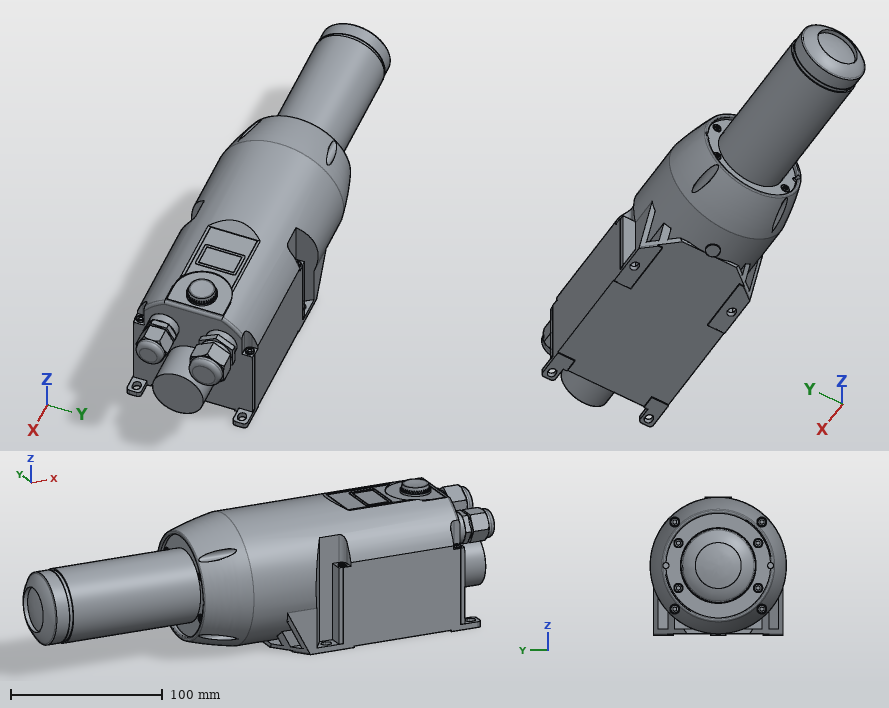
import math
import cadquery as cq

TOTAL_LENGTH = 326.5
BODY_RADIUS = 45.0
KNOB_TOP = 45.08
FOOT_BOTTOM = -46.0
BASE_BOTTOM = -BODY_RADIUS
FLOOR_TOP = -42.0
HALF_WIDTH = 42.75

TUBE_RADIUS = 25.0
CAP_RADIUS = 24.5
TIP_LENGTH = 5.5
CAP_LENGTH = 15.0
GROOVE_WIDTH = 2.5
GROOVE_DEPTH = 0.5
TIP_ARC_MIDDLE = (2.1, 20.1)
TIP_ARC_END = (5.0, 23.5)
TIP_BORE_RADIUS = 30.29 / 2
TIP_BORE_DEPTH = 3.0
TIP_DOME_HEIGHT = 2.5
TIP_DOME_FULLNESS = 0.75

COLLAR_FRONT = 107.2
COLLAR_REAR = 139.7
COLLAR_FRONT_RADIUS = 37.0
COLLAR_BULGE = 0.6
COLLAR_EDGE_FILLET = 0.8
FACE_RADIUS = 34.5
FACE_DEPTH = 3.0

HOUSING_REAR = 294.9
HOUSING_START = 203.0
REAR_FILLET = 2.0
LIP_LENGTH = 3.0
LIP_DEPTH = 0.4

BASE_FRONT = 182.0
GUSSET_TOP = -13.8
GUSSET_SETBACK = 17.0
FRONT_LEAN = GUSSET_SETBACK / (GUSSET_TOP - FOOT_BOTTOM)
FRONT_SWEEP = math.tan(math.radians(40))
BASE_WALL_REAR = 188.0
GUSSET_REAR = 200.0
HOUSING_FRONT = 196.0
NOSE_LIMIT = 163.0
OUTER_POCKET_Y = (33.3, 39.7)
MIDDLE_POCKET_Y = 28.7
POCKET_END_WALL = 3.0

NOTCH_INNER_Y = 32.6
NOTCH_FRONT = 186.6
NOTCH_CORNER = 193.4
PAD_INNER_Y = 29.6
FRONT_PAD_FRONT = 173.7
FRONT_PAD_REAR = 214.0
REAR_PAD_FRONT = 285.0
FOOT_REAR = 307.0
FOOT_CORNER_RADIUS = 2.5
SLOT_LENGTH = 7.0
SLOT_WIDTH = 5.5
SLOT_X = (196.2, 301.3)
SLOT_Y = 37.4
BUTTON_X = 158.5
BUTTON_DIAMETER = 10.0
BUTTON_HEIGHT = 2.0

SEAT_Z = 11.5
FRONT_SEAT_REAR = 211.6
REAR_SEAT_FRONT = 286.7
REAR_SEAT_INNER_Y = 34.8
SEAT_CORNER_RADIUS = 4.0
COVER_SCREW_X = (207.4, 290.7)
COVER_SCREW_Y = 38.7
SCREW_DIAMETER = 6.1
SCREW_HEIGHT = 1.2
SCREW_CHAMFER = 0.6
SOCKET_DIAMETER = 3.0
SOCKET_DEPTH = 0.8

COLLAR_SCREW_YZ = 28.7
COLLAR_HOLE_DIAMETER = 6.5
FACE_SCREW_Y = 26.3
FACE_SCREW_Z = 14.8
SIDE_NOTCH_DIAMETER = 4.0
SIDE_NOTCH_DEPTH = 4.0

PANEL_Z = 41.0
PANEL_RAMP_START = 214.0
PANEL_RAMP_END = 221.8
PANEL_HALF_WIDTH = 16.6
PANEL_RECESS = 0.6
DIAL_SHELF_Z = 40.0
DIAL_Z = 39.6
DIAL_RECESS_REAR = 291.5
DIAL_X = 279.0
DIAL_RADIUS = 20.0
WINDOW_X = (237.0, 255.6)
WINDOW_HALF_WIDTH = 14.3
WINDOW_FRAME = 1.9
WINDOW_DEPTH = 0.4
WINDOW_CORNER = 1.2

KNOB_DIAMETER = 20.6
KNOB_FLANGE_HEIGHT = 1.0
KNOB_GRIP_DIAMETER = 19.5
KNOB_TOP_DIAMETER = 17.5
KNOB_RIM_WIDTH = 1.0
KNOB_DISH_DEPTH = 0.5
KNOB_GROOVES = 36
KNOB_GROOVE_DIAMETER = 1.0

GLAND_Y = 20.25
GLAND_Z = 17.3
GLAND_COLLAR_REAR = 301.0
GLAND_FIRST_HEX_REAR = 305.0
GLAND_NUT_CHAMFER = 1.2
GLAND_DOME_FILLET = 3.5
PIPE_DIAMETER = 36.0
PIPE_Z = -14.0
PIPE_REAR = 321.8

FAR = 60.0
OVERLAP = 1.0


def box(x0, x1, y0, y1, z0, z1):
    return cq.Workplane("XY").box(x1 - x0, y1 - y0, z1 - z0, centered=False).translate((x0, y0, z0))


def rod(x0, x1, diameter, y=0.0, z=0.0):
    return cq.Workplane("YZ", origin=(x0, y, z)).circle(diameter / 2).extrude(x1 - x0)


def both_sides(solid):
    return solid.union(solid.mirror("XZ"))


def make_nozzle():
    groove_end = CAP_LENGTH + GROOVE_WIDTH
    groove_radius = CAP_RADIUS - GROOVE_DEPTH
    profile = (
        cq.Workplane("XY")
        .moveTo(TIP_BORE_DEPTH - TIP_DOME_HEIGHT, 0)
        .threePointArc(
            (TIP_BORE_DEPTH - TIP_DOME_HEIGHT * TIP_DOME_FULLNESS, TIP_BORE_RADIUS / 2),
            (TIP_BORE_DEPTH, TIP_BORE_RADIUS),
        )
        .lineTo(0, TIP_BORE_RADIUS)
        .threePointArc(TIP_ARC_MIDDLE, TIP_ARC_END)
        .lineTo(TIP_LENGTH, CAP_RADIUS)
        .lineTo(CAP_LENGTH, CAP_RADIUS)
        .lineTo(CAP_LENGTH, groove_radius)
        .lineTo(groove_end, groove_radius)
        .lineTo(groove_end, TUBE_RADIUS)
        .lineTo(COLLAR_REAR, TUBE_RADIUS)
        .lineTo(COLLAR_REAR, 0)
        .close()
    )
    return profile.revolve(360, (0, 0, 0), (1, 0, 0))


def make_barrel():
    bulge_point = (
        (COLLAR_FRONT + COLLAR_REAR) / 2,
        (COLLAR_FRONT_RADIUS + BODY_RADIUS) / 2 + COLLAR_BULGE,
    )
    face_x = COLLAR_FRONT + FACE_DEPTH
    profile = (
        cq.Workplane("XY")
        .moveTo(face_x, 0)
        .lineTo(face_x, FACE_RADIUS)
        .lineTo(COLLAR_FRONT, FACE_RADIUS)
        .lineTo(COLLAR_FRONT, COLLAR_FRONT_RADIUS)
        .threePointArc(bulge_point, (COLLAR_REAR, BODY_RADIUS))
        .lineTo(HOUSING_START, BODY_RADIUS)
        .lineTo(HOUSING_START, 0)
        .close()
    )
    barrel = profile.revolve(360, (0, 0, 0), (1, 0, 0))
    return barrel.faces("<X").edges().fillet(COLLAR_EDGE_FILLET)


def make_gusset_block(z0, z1):
    """Front of the base: a block whose front face leans back and sweeps forward to the middle."""

    def plan(z):
        edge = BASE_FRONT - FRONT_LEAN * (z - FOOT_BOTTOM)
        nose = edge - FRONT_SWEEP * HALF_WIDTH
        return [(edge, HALF_WIDTH), (nose, 0), (GUSSET_REAR, 0), (GUSSET_REAR, HALF_WIDTH)]

    return (
        cq.Workplane("XY", origin=(0, 0, z0))
        .polyline(plan(z0)).close()
        .workplane(offset=z1 - z0)
        .polyline(plan(z1)).close()
        .loft(ruled=True)
        .intersect(box(NOSE_LIMIT, GUSSET_REAR, 0, HALF_WIDTH, z0, z1))
    )


def make_base_front():
    base = make_gusset_block(BASE_BOTTOM, GUSSET_TOP)
    y0, y1 = OUTER_POCKET_Y
    wall_slope = (NOTCH_CORNER - NOTCH_FRONT) / (HALF_WIDTH - NOTCH_INNER_Y)

    def pocket_end(y):
        return NOTCH_CORNER - wall_slope * (y - NOTCH_INNER_Y) - POCKET_END_WALL

    outer_pocket = (
        cq.Workplane("XY", origin=(0, 0, FLOOR_TOP))
        .polyline([(NOSE_LIMIT, y0), (NOSE_LIMIT, y1), (pocket_end(y1), y1), (pocket_end(y0), y0)])
        .close()
        .extrude(FAR)
    )
    middle_pocket = box(NOSE_LIMIT, BASE_WALL_REAR, 0, MIDDLE_POCKET_Y, FLOOR_TOP, 0)
    base = base.cut(outer_pocket).cut(middle_pocket)
    pad = make_gusset_block(FOOT_BOTTOM, BASE_BOTTOM)
    pad = pad.intersect(box(FRONT_PAD_FRONT, GUSSET_REAR, PAD_INNER_Y, FAR, FOOT_BOTTOM, BASE_BOTTOM))
    pad = pad.union(box(GUSSET_REAR, FRONT_PAD_REAR, PAD_INNER_Y, HALF_WIDTH, FOOT_BOTTOM, BASE_BOTTOM))
    return both_sides(base.union(pad))


def make_housing():
    """Rear housing: flat sides and floor below, round top above, with the control panel on top."""
    seam_z = math.sqrt(BODY_RADIUS**2 - HALF_WIDTH**2)
    profile = (
        cq.Workplane("YZ", origin=(HOUSING_FRONT, 0, 0))
        .moveTo(-HALF_WIDTH, BASE_BOTTOM)
        .lineTo(HALF_WIDTH, BASE_BOTTOM)
        .lineTo(HALF_WIDTH, seam_z)
        .threePointArc((0, BODY_RADIUS), (-HALF_WIDTH, seam_z))
        .close()
    )
    housing = profile.extrude(HOUSING_REAR - HOUSING_FRONT)
    lip_y = HALF_WIDTH - LIP_DEPTH
    lip = box(HOUSING_REAR - LIP_LENGTH, HOUSING_REAR, lip_y, FAR, FLOOR_TOP, seam_z)
    housing = housing.cut(make_panel_cut()).cut(make_window_frame())
    rear_top = cq.selectors.BoxSelector(
        (HOUSING_REAR - OVERLAP, -FAR, seam_z + OVERLAP),
        (HOUSING_REAR + OVERLAP, FAR, FAR),
    )
    housing = housing.edges(rear_top).fillet(REAR_FILLET)
    return housing.cut(both_sides(lip)).cut(make_dial_recess())


def make_panel_cut():
    ramp = (
        cq.Workplane("XZ", origin=(0, FAR, 0))
        .polyline([
            (PANEL_RAMP_START, BODY_RADIUS),
            (PANEL_RAMP_END, PANEL_Z),
            (HOUSING_REAR, PANEL_Z),
            (HOUSING_REAR, FAR),
            (PANEL_RAMP_START, FAR),
        ])
        .close()
        .extrude(2 * FAR)
    )
    recess = box(PANEL_RAMP_END, DIAL_X, -PANEL_HALF_WIDTH, PANEL_HALF_WIDTH, PANEL_Z - PANEL_RECESS, FAR)
    shelf = box(DIAL_X, HOUSING_REAR, -FAR, FAR, DIAL_SHELF_Z, FAR)
    return ramp.union(recess).union(shelf)


def make_dial_recess():
    """Recess around the knob: round at the front, square at the rear."""
    disc = cq.Workplane("XY", origin=(DIAL_X, 0, DIAL_Z)).circle(DIAL_RADIUS).extrude(FAR)
    front_half = disc.intersect(box(0, DIAL_X, -FAR, FAR, 0, 2 * FAR))
    return front_half.union(box(DIAL_X, DIAL_RECESS_REAR, -DIAL_RADIUS, DIAL_RADIUS, DIAL_Z, DIAL_Z + FAR))


def make_window_frame():
    length = WINDOW_X[1] - WINDOW_X[0]
    width = 2 * WINDOW_HALF_WIDTH
    top = PANEL_Z - PANEL_RECESS
    origin = (sum(WINDOW_X) / 2, 0, top - WINDOW_DEPTH)
    outer = cq.Workplane("XY", origin=origin).rect(length, width).extrude(WINDOW_DEPTH)
    outer = outer.edges("|Z").fillet(WINDOW_CORNER)
    inner = (
        cq.Workplane("XY", origin=origin)
        .rect(length - 2 * WINDOW_FRAME, width - 2 * WINDOW_FRAME)
        .extrude(WINDOW_DEPTH)
    )
    return outer.cut(inner)


def make_knob():
    flange_top = DIAL_SHELF_Z + KNOB_FLANGE_HEIGHT
    knob = (
        cq.Workplane("XZ")
        .moveTo(0, DIAL_Z - OVERLAP)
        .lineTo(KNOB_DIAMETER / 2, DIAL_Z - OVERLAP)
        .lineTo(KNOB_DIAMETER / 2, flange_top)
        .lineTo(KNOB_GRIP_DIAMETER / 2, flange_top)
        .lineTo(KNOB_TOP_DIAMETER / 2, KNOB_TOP)
        .lineTo(KNOB_TOP_DIAMETER / 2 - KNOB_RIM_WIDTH, KNOB_TOP)
        .lineTo(0, KNOB_TOP - KNOB_DISH_DEPTH)
        .close()
        .revolve(360, (0, 0, 0), (0, 1, 0))
    )
    grooves = (
        cq.Workplane("XY", origin=(0, 0, flange_top))
        .polarArray(KNOB_GRIP_DIAMETER / 2, 0, 360, KNOB_GROOVES)
        .circle(KNOB_GROOVE_DIAMETER / 2)
        .extrude(FAR)
    )
    return knob.cut(grooves).translate((DIAL_X, 0, 0))


def make_foot_notch():
    plan = [
        (NOTCH_CORNER, NOTCH_INNER_Y),
        (HOUSING_START, NOTCH_INNER_Y),
        (HOUSING_START, HALF_WIDTH - LIP_DEPTH),
        (HOUSING_START + LIP_LENGTH, HALF_WIDTH - LIP_DEPTH),
        (HOUSING_START + LIP_LENGTH, FAR),
    ]
    slope = (NOTCH_FRONT - NOTCH_CORNER) / (HALF_WIDTH - NOTCH_INNER_Y)
    plan.append((NOTCH_CORNER + slope * (FAR - NOTCH_INNER_Y), FAR))
    notch = cq.Workplane("XY", origin=(0, 0, FLOOR_TOP)).polyline(plan).close().extrude(2 * FAR)
    return both_sides(notch)


def make_seat_cuts():
    front = box(HOUSING_START, FRONT_SEAT_REAR, NOTCH_INNER_Y, FAR, SEAT_Z, FAR)
    front = front.edges("|Z and >X and <Y").fillet(SEAT_CORNER_RADIUS)
    rear = box(REAR_SEAT_FRONT, HOUSING_REAR, REAR_SEAT_INNER_Y, FAR, SEAT_Z, FAR)
    rear = rear.edges("|Z and <X and <Y").fillet(SEAT_CORNER_RADIUS)
    return both_sides(front.union(rear))


def make_rear_feet():
    foot = box(HOUSING_REAR, FOOT_REAR, NOTCH_INNER_Y, HALF_WIDTH, FOOT_BOTTOM, FLOOR_TOP)
    foot = foot.edges("|Z and >X").fillet(FOOT_CORNER_RADIUS)
    pad = box(REAR_PAD_FRONT, HOUSING_REAR, PAD_INNER_Y, HALF_WIDTH, FOOT_BOTTOM, BASE_BOTTOM)
    return both_sides(foot.union(pad))


def make_slots():
    centres = [(x, side * SLOT_Y) for x in SLOT_X for side in (-1, 1)]
    return (
        cq.Workplane("XY", origin=(0, 0, FOOT_BOTTOM))
        .pushPoints(centres)
        .slot2D(SLOT_LENGTH, SLOT_WIDTH)
        .extrude(FLOOR_TOP - FOOT_BOTTOM)
    )


def make_screw():
    """Socket screw head standing on the XY plane."""
    head = cq.Workplane("XY").circle(SCREW_DIAMETER / 2).extrude(SCREW_HEIGHT)
    head = head.faces(">Z").chamfer(SCREW_CHAMFER)
    socket = cq.Workplane("XY").workplane(offset=SCREW_HEIGHT - SOCKET_DEPTH)
    return head.cut(socket.polygon(6, SOCKET_DIAMETER).extrude(SOCKET_DEPTH))


def add_cover_screws(part):
    for x in COVER_SCREW_X:
        for side in (-1, 1):
            part = part.union(make_screw().translate((x, side * COVER_SCREW_Y, SEAT_Z)))
    return part


def add_front_details(part):
    """Screw holes through the collar, screws on the front face and the two side notches."""
    face_x = COLLAR_FRONT + FACE_DEPTH
    screw = make_screw().rotate((0, 0, 0), (0, 1, 0), -90)
    for side in (-1, 1):
        for level in (-1, 1):
            y = side * COLLAR_SCREW_YZ
            z = level * COLLAR_SCREW_YZ
            part = part.cut(rod(COLLAR_FRONT, COLLAR_REAR, COLLAR_HOLE_DIAMETER, y, z))
            part = part.union(screw.translate((COLLAR_REAR, y, z)))
            part = part.union(screw.translate((face_x, side * FACE_SCREW_Y, level * FACE_SCREW_Z)))
        notch_end = COLLAR_FRONT + SIDE_NOTCH_DEPTH
        part = part.cut(rod(COLLAR_FRONT, notch_end, SIDE_NOTCH_DIAMETER, side * FACE_RADIUS))
    return part


def make_gland(side, flats, hex_turn, collar_d, neck_d, nut_front, nut_rear, dome_d, end):
    """Cable gland on the rear wall: collar, fixed hexagon, neck, cap nut and rounded end."""
    y = side * GLAND_Y
    corners = flats / math.cos(math.pi / 6)

    def hexagon(x0, x1):
        prism = cq.Workplane("YZ").polygon(6, corners).extrude(x1 - x0)
        return prism.rotate((0, 0, 0), (1, 0, 0), hex_turn).translate((x0, y, GLAND_Z))

    nut_turning = rod(nut_front, nut_rear, corners, y, GLAND_Z).faces(">X").chamfer(GLAND_NUT_CHAMFER)
    nut = hexagon(nut_front, nut_rear).intersect(nut_turning)
    dome = rod(nut_rear, end, dome_d, y, GLAND_Z).faces(">X").edges().fillet(GLAND_DOME_FILLET)
    return (
        rod(HOUSING_REAR - OVERLAP, GLAND_COLLAR_REAR, collar_d, y, GLAND_Z)
        .union(hexagon(GLAND_COLLAR_REAR, GLAND_FIRST_HEX_REAR))
        .union(rod(GLAND_FIRST_HEX_REAR, nut_front, neck_d, y, GLAND_Z))
        .union(nut)
        .union(dome)
    )


barrel = make_barrel().union(make_nozzle())
housing = make_housing().cut(make_seat_cuts())
result = barrel.union(make_base_front()).union(housing).union(make_rear_feet())
result = result.cut(make_foot_notch()).cut(make_slots())
result = result.union(make_knob())

result = add_cover_screws(result)
result = add_front_details(result)

button = cq.Workplane("XY", origin=(BUTTON_X, 0, FOOT_BOTTOM)).circle(BUTTON_DIAMETER / 2)
button = button.extrude(BUTTON_HEIGHT)
result = result.union(button)
pipe = rod(HOUSING_REAR - OVERLAP, PIPE_REAR, PIPE_DIAMETER, 0, PIPE_Z)
result = result.union(pipe)
result = result.union(make_gland(
    side=1, flats=24.0, hex_turn=30, collar_d=22.0, neck_d=22.0,
    nut_front=308.8, nut_rear=321.0, dome_d=23.0, end=TOTAL_LENGTH))
result = result.union(make_gland(
    side=-1, flats=19.5, hex_turn=0, collar_d=21.0, neck_d=17.5,
    nut_front=306.6, nut_rear=318.5, dome_d=19.4, end=323.8))